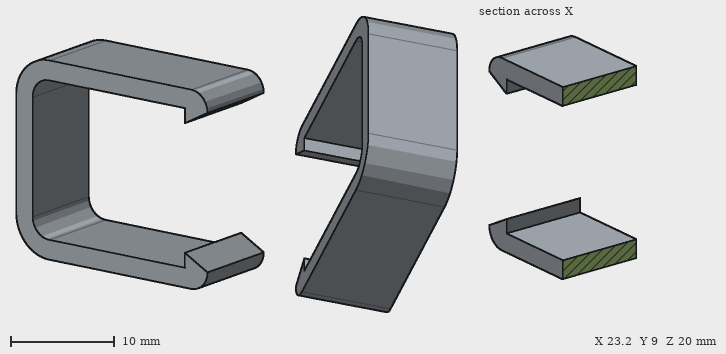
import cadquery as cq

length = 23.2
width = 9.0
height = 20.0
wall = 2.0
outer_corner_radius = 4.0
hook_length = 2.75
hook_depth = 1.5

inner_corner_radius = outer_corner_radius - wall
nose_radius = wall
inner_height = height - 2 * wall
catch_x = length - hook_length


def channel():
    """C-shaped band, open towards +X, with concentric rounded back corners."""
    outer = (
        cq.Workplane("XY")
        .box(length, width, height, centered=(False, True, True))
        .edges("|Y and <X")
        .fillet(outer_corner_radius)
        .edges("|Y and >X")
        .fillet(nose_radius)
    )
    opening = (
        cq.Workplane("XY")
        .box(length, width, inner_height, centered=(False, True, True))
        .edges("|Y and <X")
        .fillet(inner_corner_radius)
        .translate((wall, 0, 0))
    )
    return outer.cut(opening)


def hook(side):
    """Triangular catch on the inner face of one arm; side is +1 (upper) or -1 (lower)."""
    arm_face_z = side * inner_height / 2
    catch_z = arm_face_z - side * hook_depth
    return (
        cq.Workplane("XZ")
        .moveTo(catch_x, arm_face_z)
        .lineTo(catch_x, catch_z)
        .lineTo(length, arm_face_z)
        .close()
        .extrude(width / 2, both=True)
    )


result = channel()
for arm_side in (1, -1):
    result = result.union(hook(arm_side))
result = result.clean()